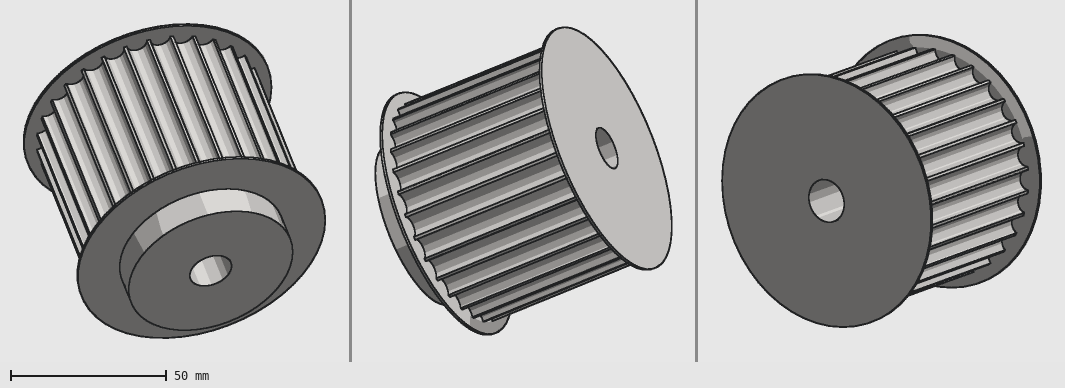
import cadquery as cq
import math

flange_diameter = 83.0
hub_diameter = 55.0
bore_diameter = 14.0
tooth_diameter = 75.1
overall_length = 70.0
flanged_length = 60.0
flange_thickness = 1.5
rim_thickness = 0.8

tooth_count = 30
land_width = 1.1
groove_depth = 3.4

tooth_radius = tooth_diameter / 2
flange_radius = flange_diameter / 2
pitch_angle = 2 * math.pi / tooth_count
toothed_length = flanged_length - 2 * flange_thickness


def point_at(radius, angle):
    return (radius * math.cos(angle), radius * math.sin(angle))


def make_toothed_drum():
    """Drum outline: one round groove and one land per pitch, with a groove centred on +Y."""
    half_groove = (pitch_angle - land_width / tooth_radius) / 2
    root_radius = tooth_radius - groove_depth
    outline = cq.Workplane("YZ", origin=(flange_thickness, 0, 0))
    outline = outline.moveTo(*point_at(tooth_radius, -half_groove))
    for tooth in range(tooth_count):
        groove_angle = tooth * pitch_angle
        land_angle = groove_angle + pitch_angle / 2
        next_groove_start = groove_angle + pitch_angle - half_groove
        outline = outline.threePointArc(
            point_at(root_radius, groove_angle),
            point_at(tooth_radius, groove_angle + half_groove),
        ).threePointArc(
            point_at(tooth_radius, land_angle),
            point_at(tooth_radius, next_groove_start),
        )
    return outline.close().extrude(toothed_length)


def make_flange(outer_face, inward):
    """Disc whose inner side slopes from the thin rim to the tooth circle; inward is +1 or -1 along X."""
    rim_position = outer_face + inward * rim_thickness
    foot_position = outer_face + inward * flange_thickness
    half_section = [
        (outer_face, 0),
        (outer_face, flange_radius),
        (rim_position, flange_radius),
        (foot_position, tooth_radius),
        (foot_position, 0),
    ]
    return cq.Workplane("XY").polyline(half_section).close().revolve(360, (0, 0, 0), (1, 0, 0))


def make_cylinder(diameter, start, end):
    return cq.Workplane("YZ", origin=(start, 0, 0)).circle(diameter / 2).extrude(end - start)


pulley = make_toothed_drum()
pulley = pulley.union(make_flange(0, 1))
pulley = pulley.union(make_flange(flanged_length, -1))
pulley = pulley.union(make_cylinder(hub_diameter, flanged_length, overall_length))
result = pulley.cut(make_cylinder(bore_diameter, 0, overall_length))